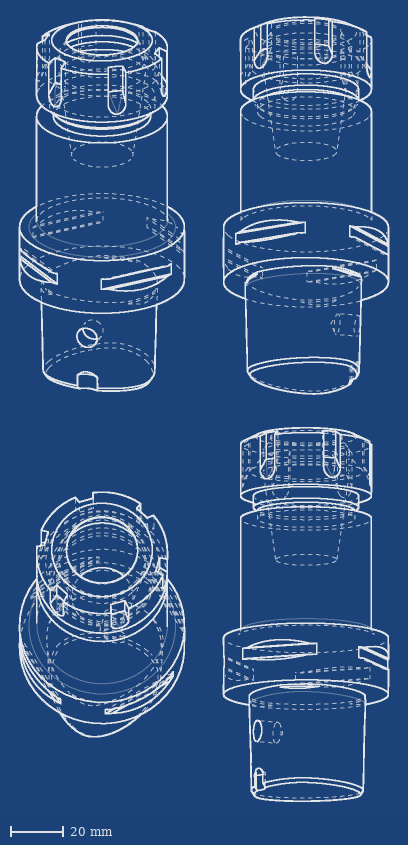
import cadquery as cq
import math

TOP_Z = 100.0
SHANK_LENGTH = 38.0

FLANGE_RADIUS = 31.5
FLANGE_HEIGHT = 22.0
BODY_RADIUS = 25.0
BODY_TOP_Z = 68.3
BODY_FILLET = 3.0

NECK_RADIUS = 18.6
NECK_TOP_Z = 71.2
COLLAR_RADIUS = 20.1
COLLAR_BOTTOM_Z = 72.5

NUT_RADIUS = 25.0
NUT_BOTTOM_Z = 77.0
NUT_CONE_Z = 97.0
NUT_FACE_RADIUS = 19.2

MOUTH_RADIUS = 13.6
MOUTH_LIP_DEPTH = 0.7
COLLET_RING_RADIUS = 16.6
COLLET_RING_TOP_DEPTH = 5.4
COLLET_RING_BOTTOM_DEPTH = 8.0
CAVITY_RADIUS = 21.6
CAVITY_DEPTH = 13.5
SEAT_RADIUS = 16.5
SEAT_FLOOR_RADIUS = 11.7
SEAT_HALF_ANGLE = math.radians(8.0)

WRENCH_SLOT_COUNT = 6
WRENCH_SLOT_WIDTH = 7.0
WRENCH_SLOT_BOTTOM_Z = 80.0
WRENCH_SLOT_FLOOR_RADIUS = 21.9
WRENCH_SLOT_FLOOR_WIDTH = 5.6
WRENCH_RAMP_TOP_Z = 88.3

GRIP_COUNT = 4
GRIP_FLOOR_DISTANCE = 27.6
GRIP_FLARE_DISTANCE = 28.8
GRIP_MIDDLE_Z = 12.1
GRIP_FLOOR_HEIGHT = 4.2
GRIP_MOUTH_HEIGHT = 7.6

SHANK_WIDTH = 44.4
SHANK_ECCENTRICITY = 1.5
SHANK_STRAIGHT = 3.0
SHANK_TAPER = 1 / 20
SHANK_CHAMFER_HEIGHT = 1.6
SHANK_CHAMFER_INSET = 1.0
OUTLINE_SAMPLES = 48

RELIEF_RADIUS = 22.6
RELIEF_HEIGHT = 0.8

DRILL_RADIUS = 4.0
DRILL_POINT_ANGLE = math.radians(118.0)
DRILL_TIP_HEIGHT = DRILL_RADIUS / math.tan(DRILL_POINT_ANGLE / 2)
SIDE_HOLE_Z = -15.6
SIDE_HOLE_DEPTH = 10.0

KEYWAY_WIDTH = 7.9
KEYWAY_HEIGHT = 5.9
KEYWAY_FLOOR_Y = -17.6
KEYWAY_FLOOR_SAG = 1.4
KEYWAY_CEILING_RISE = 2.8
KEYWAY_CEILING_TAPER = 49.0

CLEARANCE = 5.0


def make_holder():
    """Flange, body, neck, collar and nut as one turned shape."""
    fillet_middle = BODY_FILLET * (1 - math.sqrt(0.5))
    return (
        cq.Workplane("XZ")
        .moveTo(0, 0)
        .lineTo(FLANGE_RADIUS, 0)
        .lineTo(FLANGE_RADIUS, FLANGE_HEIGHT)
        .lineTo(BODY_RADIUS + BODY_FILLET, FLANGE_HEIGHT)
        .threePointArc(
            (BODY_RADIUS + fillet_middle, FLANGE_HEIGHT + fillet_middle),
            (BODY_RADIUS, FLANGE_HEIGHT + BODY_FILLET),
        )
        .lineTo(BODY_RADIUS, BODY_TOP_Z)
        .lineTo(NECK_RADIUS, BODY_TOP_Z)
        .lineTo(NECK_RADIUS, NECK_TOP_Z)
        .lineTo(COLLAR_RADIUS, COLLAR_BOTTOM_Z)
        .lineTo(COLLAR_RADIUS, NUT_BOTTOM_Z)
        .lineTo(NUT_RADIUS, NUT_BOTTOM_Z)
        .lineTo(NUT_RADIUS, NUT_CONE_Z)
        .lineTo(NUT_FACE_RADIUS, TOP_Z)
        .lineTo(0, TOP_Z)
        .close()
        .revolve(360, (0, 0, 0), (0, 1, 0))
    )


def make_collet_cavity():
    """Nut mouth, hollow nut interior and blind tapered collet seat."""
    seat_length = (SEAT_RADIUS - SEAT_FLOOR_RADIUS) / math.tan(SEAT_HALF_ANGLE)
    seat_top_z = TOP_Z - CAVITY_DEPTH
    seat_floor_z = seat_top_z - seat_length
    return (
        cq.Workplane("XZ")
        .moveTo(0, TOP_Z)
        .lineTo(MOUTH_RADIUS, TOP_Z)
        .lineTo(MOUTH_RADIUS, TOP_Z - MOUTH_LIP_DEPTH)
        .lineTo(COLLET_RING_RADIUS, TOP_Z - COLLET_RING_TOP_DEPTH)
        .lineTo(COLLET_RING_RADIUS, TOP_Z - COLLET_RING_BOTTOM_DEPTH)
        .lineTo(CAVITY_RADIUS, seat_top_z)
        .lineTo(SEAT_RADIUS, seat_top_z)
        .lineTo(SEAT_FLOOR_RADIUS, seat_floor_z)
        .lineTo(0, seat_floor_z)
        .close()
        .revolve(360, (0, 0, 0), (0, 1, 0))
    )


def make_pyramid(base, apex):
    """Solid joining every point of a flat closed outline to an apex."""
    return cq.occ_impl.shapes.loft(base, cq.Vertex.makeVertex(*apex.toTuple()), cap=True, ruled=True)


def make_wrench_slot():
    """Drafted slot on the +X side whose floor ramps out to a rounded lower end."""
    mouth_half = WRENCH_SLOT_WIDTH / 2
    floor_half = WRENCH_SLOT_FLOOR_WIDTH / 2
    slot_top_z = TOP_Z + CLEARANCE
    channel = (
        cq.Workplane("XY", origin=(0, 0, WRENCH_RAMP_TOP_Z))
        .moveTo(WRENCH_SLOT_FLOOR_RADIUS, -floor_half)
        .lineTo(NUT_RADIUS, -mouth_half)
        .lineTo(NUT_RADIUS, mouth_half)
        .lineTo(WRENCH_SLOT_FLOOR_RADIUS, floor_half)
        .close()
        .extrude(slot_top_z - WRENCH_RAMP_TOP_Z)
    )

    round_centre_z = WRENCH_SLOT_BOTTOM_Z + mouth_half
    arc_offset = mouth_half * math.sqrt(0.5)
    mouth_top = cq.Vector(NUT_RADIUS, 0, WRENCH_RAMP_TOP_Z)
    mouth_bottom = cq.Vector(NUT_RADIUS, 0, WRENCH_SLOT_BOTTOM_Z)
    left_corner = cq.Vector(WRENCH_SLOT_FLOOR_RADIUS, -floor_half, WRENCH_RAMP_TOP_Z)
    right_corner = cq.Vector(WRENCH_SLOT_FLOOR_RADIUS, floor_half, WRENCH_RAMP_TOP_Z)
    ramp = cq.Wire.makePolygon([left_corner, mouth_bottom, mouth_top], close=True)
    slot = channel.union(cq.Workplane(make_pyramid(ramp, right_corner)))
    for side, corner in ((-1, left_corner), (1, right_corner)):
        half_mouth = (
            cq.Workplane("YZ", origin=(NUT_RADIUS, 0, 0))
            .moveTo(0, WRENCH_RAMP_TOP_Z)
            .lineTo(side * mouth_half, WRENCH_RAMP_TOP_Z)
            .lineTo(side * mouth_half, round_centre_z)
            .threePointArc((side * arc_offset, round_centre_z - arc_offset), (0, WRENCH_SLOT_BOTTOM_Z))
            .close()
            .val()
        )
        slot = slot.union(cq.Workplane(make_pyramid(half_mouth, corner)))
    return slot


def make_grip_groove():
    """Straight groove with a flared mouth across the flange rim, on the +X side."""
    wall_slope = (GRIP_MOUTH_HEIGHT - GRIP_FLOOR_HEIGHT) / 2 / (FLANGE_RADIUS - GRIP_FLARE_DISTANCE)
    outer_x = FLANGE_RADIUS + CLEARANCE
    floor_half = GRIP_FLOOR_HEIGHT / 2
    outer_half = floor_half + wall_slope * (outer_x - GRIP_FLARE_DISTANCE)
    return (
        cq.Workplane("XZ")
        .moveTo(GRIP_FLOOR_DISTANCE, GRIP_MIDDLE_Z - floor_half)
        .lineTo(GRIP_FLARE_DISTANCE, GRIP_MIDDLE_Z - floor_half)
        .lineTo(outer_x, GRIP_MIDDLE_Z - outer_half)
        .lineTo(outer_x, GRIP_MIDDLE_Z + outer_half)
        .lineTo(GRIP_FLARE_DISTANCE, GRIP_MIDDLE_Z + floor_half)
        .lineTo(GRIP_FLOOR_DISTANCE, GRIP_MIDDLE_Z + floor_half)
        .close()
        .extrude(FLANGE_RADIUS, both=True)
    )


def polygon_wire(width, z):
    """Three-lobed constant-width outline with a lobe on +Y and its seam on -Y."""

    def point(t):
        angle = 2 * math.pi * t - math.pi / 2
        support = width / 2 - SHANK_ECCENTRICITY * math.sin(3 * angle)
        slope = -3 * SHANK_ECCENTRICITY * math.cos(3 * angle)
        x = support * math.cos(angle) - slope * math.sin(angle)
        y = support * math.sin(angle) + slope * math.cos(angle)
        return cq.Vector(x, y, z)

    points = [point(i / OUTLINE_SAMPLES) for i in range(OUTLINE_SAMPLES)]
    return cq.Wire.assembleEdges([cq.Edge.makeSpline(points, periodic=True)])


def make_shank():
    """Straight collar, 1:20 taper and end chamfer of the polygon shank."""
    chamfer_z = -SHANK_LENGTH + SHANK_CHAMFER_HEIGHT
    taper_length = -SHANK_STRAIGHT - chamfer_z
    small_width = SHANK_WIDTH - SHANK_TAPER * taper_length
    end_width = small_width - 2 * SHANK_CHAMFER_INSET
    sections = [
        polygon_wire(SHANK_WIDTH, 0),
        polygon_wire(SHANK_WIDTH, -SHANK_STRAIGHT),
        polygon_wire(small_width, chamfer_z),
        polygon_wire(end_width, -SHANK_LENGTH),
    ]
    return cq.Workplane(cq.Solid.makeLoft(sections, True))


def make_lobe_relief():
    """Ring under the flange with a 45 degree lower side."""
    outer_radius = RELIEF_RADIUS + CLEARANCE
    return (
        cq.Workplane("XZ")
        .moveTo(RELIEF_RADIUS, 0)
        .lineTo(RELIEF_RADIUS, -RELIEF_HEIGHT)
        .lineTo(outer_radius, -RELIEF_HEIGHT - CLEARANCE)
        .lineTo(outer_radius, 0)
        .close()
        .revolve(360, (0, 0, 0), (0, 1, 0))
    )


def make_drill(length, start, direction):
    """Drilled hole of the given full-diameter length with a pointed tip."""
    start = cq.Vector(*start)
    direction = cq.Vector(*direction)
    barrel = cq.Solid.makeCylinder(DRILL_RADIUS, length, start, direction)
    tip_start = start + direction * length
    tip = cq.Solid.makeCone(DRILL_RADIUS, 0, DRILL_TIP_HEIGHT, tip_start, direction)
    return cq.Workplane(barrel.fuse(tip))


def make_keyway():
    """Curved-floor keyway whose ceiling slopes up towards the outside."""
    half_width = KEYWAY_WIDTH / 2
    outer_y = -SHANK_WIDTH / 2 - CLEARANCE
    side_end_y = KEYWAY_FLOOR_Y - KEYWAY_FLOOR_SAG

    def prism(z, height, taper):
        return (
            cq.Workplane("XY", origin=(0, 0, z))
            .moveTo(-half_width, outer_y)
            .lineTo(half_width, outer_y)
            .lineTo(half_width, side_end_y)
            .threePointArc((0, KEYWAY_FLOOR_Y), (-half_width, side_end_y))
            .close()
            .extrude(height, taper=taper)
        )

    straight = prism(-SHANK_LENGTH, KEYWAY_HEIGHT, 0)
    ceiling = prism(-SHANK_LENGTH + KEYWAY_HEIGHT, KEYWAY_CEILING_RISE, KEYWAY_CEILING_TAPER)
    return straight.union(ceiling)


def ring_of(cutter, count, first_angle):
    """Copies of a cutter spaced evenly about the Z axis."""
    return [
        cutter.rotate((0, 0, 0), (0, 0, 1), first_angle + i * 360 / count)
        for i in range(count)
    ]


shank = make_shank().cut(make_lobe_relief())
side_hole_start_y = -SHANK_WIDTH / 2 - CLEARANCE
side_hole_length = CLEARANCE + SIDE_HOLE_DEPTH
side_hole = make_drill(side_hole_length, (0, side_hole_start_y, SIDE_HOLE_Z), (0, 1, 0))
shank = shank.cut(side_hole).cut(make_keyway())

holder = make_holder().cut(make_collet_cavity())
for slot in ring_of(make_wrench_slot(), WRENCH_SLOT_COUNT, 0):
    holder = holder.cut(slot)
for groove in ring_of(make_grip_groove(), GRIP_COUNT, 45):
    holder = holder.cut(groove)

result = holder.union(shank)